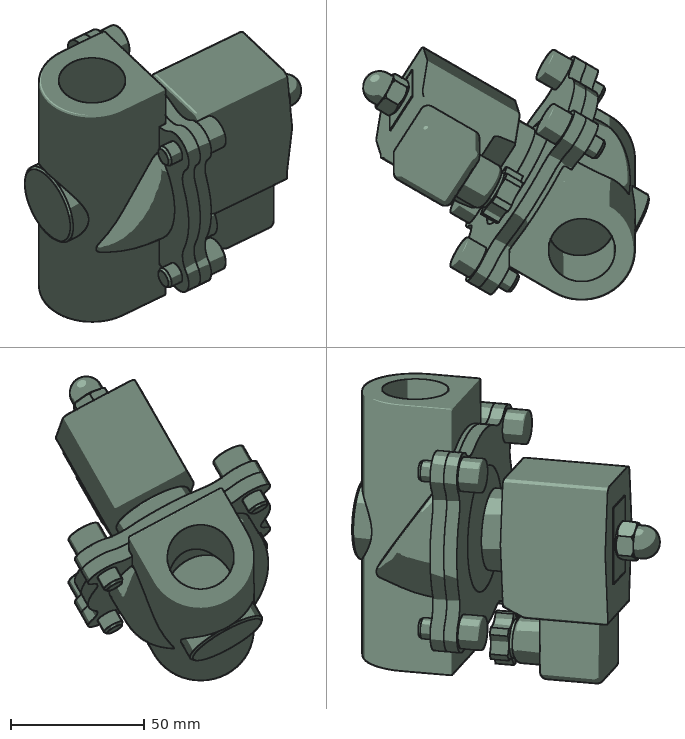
import cadquery as cq
import math


TUBE_RADIUS = 20.0
TUBE_LENGTH = 105.0
TUBE_FILLET = 0.8
BORE_DIAMETER = 25.0

BOSS_RADIUS = 15.5
BOSS_FRONT = -20.6
BOSS_CHAMFER = 0.8

FLANGE_FRONT = 16.6
SEAM = 22.0
FLANGE_BACK = 27.0
FLANGE_WIDTH = 78.0
FLANGE_RADIUS = FLANGE_WIDTH / 2
BOLT_OFFSET = 31.0
EAR_RADIUS = FLANGE_RADIUS - BOLT_OFFSET
EAR_BLEND_RADIUS = 10.0

BOWL_RADIUS = 29.9
BOWL_HINGE_Z = 25.0
BOWL_DISC_TOP = 22.0
BOWL_ANGLE = 35
BOWL_FILLET = 3.0

SCREW_DIAMETER = 8.0
SCREW_TIP = 10.6
SCREW_TIP_CHAMFER = 0.7
SCREW_TIP_CHAMFER_LENGTH = 1.0
SCREW_HEAD_DIAMETER = 13.0
SCREW_HEAD_END = 35.1
SCREW_HEAD_FILLET = 0.6

CONE_RADIUS = 23.9
CONE_END = 30.0
NECK_RADIUS = 15.5
NECK_FILLET = 0.9

COIL_START = 38.0
COIL_END = 79.0
COIL_TOP = 25.0
COIL_BASE = -29.1
COIL_SHOULDER = -25.0
COIL_NARROW_HALF = 15.1
COIL_WIDE_HALF = 18.5
COIL_TOP_FILLET = 3.0
COIL_WAIST_FILLET = 4.0
COIL_EDGE_FILLET = 1.0
COIL_BEVEL_LENGTH = 9.2

PLATE_WIDTH = 16.0
PLATE_HEIGHT = 30.0
PLATE_END = 79.4
NUT_END = 86.5
NUT_CORNER_DIAMETER = 15.3
NUT_CHAMFERED_RADIUS = NUT_CORNER_DIAMETER / 2
NUT_BASE_RADIUS = 5.9
NUT_BASE_CHAMFER_LENGTH = 1.3
NUT_END_RADIUS = 7.0
NUT_END_CHAMFER_LENGTH = 0.7
DOME_RADIUS = 6.2
DOME_TIP = 95.0

PLUG_FRONT = 51.2
PLUG_BACK = 76.3
PLUG_HALF_WIDTH = 12.5
PLUG_BOTTOM = -54.0
PLUG_FILLET = 3.0

GLAND_Z = -42.3
GLAND_RADIUS = 9.0
GLAND_FRONT = 39.6
GLAND_FILLET = 2.4
GLAND_NECK_RADIUS = 7.4
CAP_BACK = 38.6
CAP_FRONT = 31.5
CAP_RADIUS = 10.2
SCALLOP_COUNT = 6
SCALLOP_RADIUS = 5.8
SCALLOP_CENTRE = 13.8


def rod(radius, y_start, y_end, x=0, z=0):
    """Cylinder along Y."""
    plane = cq.Workplane("XZ", origin=(x, y_start, z))
    return plane.circle(radius).extrude(y_start - y_end)


def turned(profile):
    """Solid turned about the Y axis from (radius, y) points."""
    return cq.Workplane("XY").polyline(profile).close().revolve(360, (0, 0, 0), (0, 1, 0))


def polar(radius, degrees):
    return (radius * math.cos(math.radians(degrees)), radius * math.sin(math.radians(degrees)))


def bolt_places():
    return [(sx * BOLT_OFFSET, sz * BOLT_OFFSET) for sx in (1, -1) for sz in (1, -1)]


def flange_plate(y_start, y_end):
    """Flange slice with ears on the diagonals and a hole through each ear."""
    ear_distance = BOLT_OFFSET * math.sqrt(2)
    blend_distance = FLANGE_RADIUS + EAR_BLEND_RADIUS
    ear_to_blend = EAR_RADIUS + EAR_BLEND_RADIUS
    blend_swing = math.degrees(math.acos(
        (ear_distance**2 + blend_distance**2 - ear_to_blend**2) / (2 * ear_distance * blend_distance)
    ))

    def blend_arc(ear_angle, side):
        """Start on the disc, middle and end on the ear of one concave arc."""
        angle = ear_angle + side * blend_swing
        centre = cq.Vector(*polar(blend_distance, angle))
        ear_centre = cq.Vector(*polar(ear_distance, ear_angle))
        to_disc = centre.multiply(-1).normalized()
        to_ear = (ear_centre - centre).normalized()
        to_middle = (to_disc + to_ear).normalized()
        points = [centre + way.multiply(EAR_BLEND_RADIUS) for way in (to_disc, to_middle, to_ear)]
        return [(point.x, point.y) for point in points]

    outline = cq.Workplane("XZ", origin=(0, y_start, 0)).moveTo(*blend_arc(45, -1)[0])
    for ear_angle in (45, 135, 225, 315):
        _, entry_middle, entry_end = blend_arc(ear_angle, -1)
        exit_end, exit_middle, exit_start = blend_arc(ear_angle, 1)
        next_start = blend_arc(ear_angle + 90, -1)[0]
        outline = (
            outline.threePointArc(entry_middle, entry_end)
            .threePointArc(polar(ear_distance + EAR_RADIUS, ear_angle), exit_start)
            .threePointArc(exit_middle, exit_end)
            .threePointArc(polar(FLANGE_RADIUS, ear_angle + 45), next_start)
        )
    plate = outline.close().extrude(y_start - y_end)
    for x, z in bolt_places():
        plate = plate.cut(rod(SCREW_DIAMETER / 2, y_start, y_end, x, z))
    return plate


def make_tube():
    """D-shaped tube, round at the front and flat at the back."""
    half_length = TUBE_LENGTH / 2
    tube = (
        cq.Workplane("XY", origin=(0, 0, -half_length))
        .moveTo(-TUBE_RADIUS, TUBE_RADIUS)
        .lineTo(-TUBE_RADIUS, 0)
        .threePointArc((0, -TUBE_RADIUS), (TUBE_RADIUS, 0))
        .lineTo(TUBE_RADIUS, TUBE_RADIUS)
        .close()
        .extrude(TUBE_LENGTH)
    )
    tube = tube.edges("|Z and >Y").fillet(TUBE_FILLET)
    tube = tube.faces("<Z or >Z").edges().fillet(TUBE_FILLET)
    bore = cq.Workplane("XY", origin=(0, 0, -half_length)).circle(BORE_DIAMETER / 2).extrude(TUBE_LENGTH)
    return tube.cut(bore)


def make_bowl():
    disc_half_chord = math.sqrt(BOWL_RADIUS**2 - BOWL_DISC_TOP**2)
    bowl = (
        cq.Workplane("XZ", origin=(0, FLANGE_FRONT, 0))
        .moveTo(-disc_half_chord, BOWL_DISC_TOP)
        .threePointArc((0, -BOWL_RADIUS), (disc_half_chord, BOWL_DISC_TOP))
        .close()
        .revolve(BOWL_ANGLE, (1.2, BOWL_HINGE_Z, 0), (0, BOWL_HINGE_Z, 0))
    )
    return bowl.faces("<Y").edges("<Y").fillet(BOWL_FILLET)


def make_housing():
    boss = rod(BOSS_RADIUS, BOSS_FRONT, FLANGE_FRONT).faces("<Y").edges().chamfer(BOSS_CHAMFER)
    flange = flange_plate(FLANGE_FRONT, SEAM)
    return make_tube().union(flange).union(make_bowl()).union(boss)


def make_coil():
    coil = (
        cq.Workplane("XZ", origin=(0, COIL_START, 0))
        .polyline([
            (-COIL_NARROW_HALF, COIL_TOP),
            (COIL_NARROW_HALF, COIL_TOP),
            (COIL_WIDE_HALF, 0),
            (COIL_NARROW_HALF, COIL_SHOULDER),
            (COIL_NARROW_HALF, COIL_BASE),
            (-COIL_NARROW_HALF, COIL_BASE),
            (-COIL_NARROW_HALF, COIL_SHOULDER),
            (-COIL_WIDE_HALF, 0),
        ])
        .close()
        .extrude(COIL_START - COIL_END)
    )
    coil = coil.edges("|Y and >Z").fillet(COIL_TOP_FILLET)
    coil = coil.edges("|Y and (<X or >X)").fillet(COIL_WAIST_FILLET)
    bevel = (
        cq.Workplane("YZ", origin=(-COIL_WIDE_HALF, 0, 0))
        .polyline([
            (COIL_START, COIL_BASE),
            (COIL_START + COIL_BEVEL_LENGTH, COIL_BASE),
            (COIL_START, COIL_SHOULDER),
        ])
        .close()
        .extrude(2 * COIL_WIDE_HALF)
    )
    coil = coil.cut(bevel)
    coil = coil.faces("<Y").edges("not <Z").fillet(COIL_EDGE_FILLET)
    return coil.faces("<Z").edges("not <Y").fillet(COIL_EDGE_FILLET)


def make_cap_nut():
    blank = turned([
        (0, PLATE_END),
        (NUT_BASE_RADIUS, PLATE_END),
        (NUT_CHAMFERED_RADIUS, PLATE_END + NUT_BASE_CHAMFER_LENGTH),
        (NUT_CHAMFERED_RADIUS, NUT_END - NUT_END_CHAMFER_LENGTH),
        (NUT_END_RADIUS, NUT_END),
        (0, NUT_END),
    ])
    hexagon = (
        cq.Workplane("XZ", origin=(0, PLATE_END, 0))
        .transformed(rotate=(0, 0, 90))
        .polygon(6, NUT_CORNER_DIAMETER)
        .extrude(PLATE_END - NUT_END)
    )
    dome_start = DOME_TIP - DOME_RADIUS
    dome = rod(DOME_RADIUS, NUT_END, dome_start)
    dome = dome.union(cq.Workplane("XY").sphere(DOME_RADIUS).translate((0, dome_start, 0)))
    return blank.intersect(hexagon).union(dome)


def make_plug():
    plug = cq.Workplane("XY").box(
        2 * PLUG_HALF_WIDTH, PLUG_BACK - PLUG_FRONT, COIL_BASE - PLUG_BOTTOM
    )
    plug = plug.translate((0, (PLUG_FRONT + PLUG_BACK) / 2, (COIL_BASE + PLUG_BOTTOM) / 2))
    return plug.edges("|Z").fillet(PLUG_FILLET).faces("<Z").edges().fillet(PLUG_FILLET)


def make_gland():
    barrel = rod(GLAND_RADIUS, GLAND_FRONT, PLUG_FRONT).faces("<Y").edges().fillet(GLAND_FILLET)
    neck = rod(GLAND_NECK_RADIUS, CAP_BACK, GLAND_FRONT + GLAND_FILLET)
    cap = rod(CAP_RADIUS, CAP_FRONT, CAP_BACK)
    for index in range(SCALLOP_COUNT):
        x, z = polar(SCALLOP_CENTRE, index * 360 / SCALLOP_COUNT)
        cap = cap.cut(rod(SCALLOP_RADIUS, CAP_FRONT, CAP_BACK, x, z))
    return barrel.union(neck).union(cap).translate((0, 0, GLAND_Z))


def make_actuator():
    """Cover, coil, cap nut and cable plug as one body."""
    cone = turned([
        (0, FLANGE_BACK),
        (CONE_RADIUS, FLANGE_BACK),
        (NECK_RADIUS, CONE_END),
        (0, CONE_END),
    ])
    neck = rod(NECK_RADIUS, CONE_END, COIL_START).faces(">Y").edges().fillet(NECK_FILLET)
    plate_thickness = PLATE_END - COIL_END
    plate = cq.Workplane("XY").box(PLATE_WIDTH, plate_thickness, PLATE_HEIGHT)
    plate = plate.translate((0, COIL_END + plate_thickness / 2, 0))
    actuator = flange_plate(SEAM, FLANGE_BACK)
    for part in (cone, neck, make_coil(), plate, make_cap_nut(), make_plug(), make_gland()):
        actuator = actuator.union(part)
    return actuator


def make_screw(x, z):
    radius = SCREW_DIAMETER / 2
    shank = turned([
        (0, SCREW_TIP),
        (radius - SCREW_TIP_CHAMFER, SCREW_TIP),
        (radius, SCREW_TIP + SCREW_TIP_CHAMFER_LENGTH),
        (radius, FLANGE_BACK),
        (0, FLANGE_BACK),
    ])
    head = rod(SCREW_HEAD_DIAMETER / 2, FLANGE_BACK, SCREW_HEAD_END)
    head = head.faces(">Y").edges().fillet(SCREW_HEAD_FILLET)
    return shank.union(head).translate((x, 0, z))


housing = make_housing()
actuator = make_actuator()
screws = [make_screw(x, z).val() for x, z in bolt_places()]

result = cq.Compound.makeCompound([housing.val(), actuator.val(), *screws])